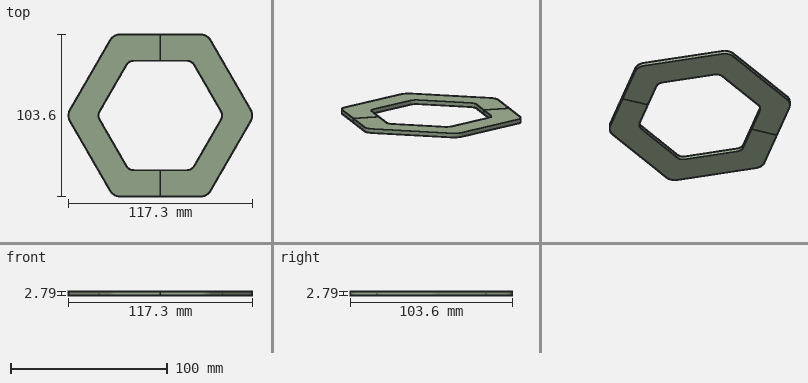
import cadquery as cq
import math

thickness = 2.794
outer_across_flats = 103.632
frame_width = 17.018
outer_corner_radius = 7.5
inner_corner_radius = 5.08

inner_across_flats = outer_across_flats - 2 * frame_width
hexagon_sides = 6
half_side_angle = math.pi / hexagon_sides
cutter_size = 2 * outer_across_flats

LEFT = -1
RIGHT = 1


def rounded_hexagon(across_flats, corner_radius):
    """Hexagonal plate with two corners on the X axis and rounded vertical edges."""
    across_corners = across_flats / math.cos(half_side_angle)
    plate = cq.Workplane("XY").polygon(hexagon_sides, across_corners).extrude(thickness)
    return plate.edges("|Z").fillet(corner_radius)


def half_frame(side):
    """Half of the hexagonal frame, on the -X (LEFT) or +X (RIGHT) side of the joint plane X = 0."""
    outline = rounded_hexagon(outer_across_flats, outer_corner_radius)
    opening = rounded_hexagon(inner_across_flats, inner_corner_radius)
    frame = outline.cut(opening)
    opposite_half = (
        cq.Workplane("XY")
        .center(-side * cutter_size / 2, 0)
        .rect(cutter_size, cutter_size)
        .extrude(thickness)
    )
    return frame.cut(opposite_half).solids()


half_frames = [half_frame(side) for side in (LEFT, RIGHT)]

result = cq.Compound.makeCompound([half.val() for half in half_frames])